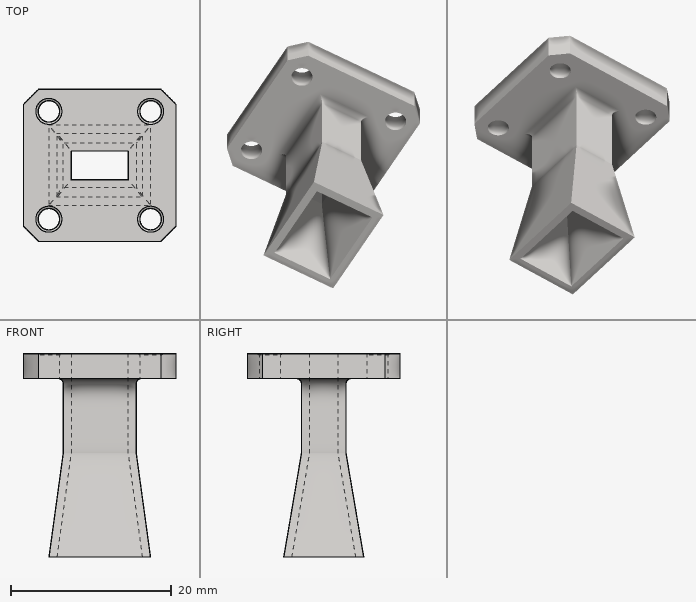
import cadquery as cq

total_height = 25.4

flange_side = 19.05
flange_thickness = 3.12
corner_chamfer = 1.9

hole_diameter = 2.65
countersink_diameter = 3.25
countersink_angle = 120.0
hole_spacing_x = 12.7
hole_spacing_y = 13.45

bore_x = 7.1
bore_y = 3.55
wall = 1.02
horn_length = 12.95
mouth_x = 12.7
mouth_y = 10.0
neck_fillet = 0.64

neck_x = bore_x + 2 * wall
neck_y = bore_y + 2 * wall
flange_bottom = total_height - flange_thickness


def straight_block(size_x, size_y, bottom, top):
    """Rectangular block centred on Z between two heights."""
    return cq.Workplane("XY", origin=(0, 0, bottom)).rect(size_x, size_y).extrude(top - bottom)


def flare(mouth_size_x, mouth_size_y, throat_size_x, throat_size_y):
    """Rectangular taper from the mouth at Z = 0 up to the throat."""
    return (
        cq.Workplane("XY")
        .rect(mouth_size_x, mouth_size_y)
        .workplane(offset=horn_length)
        .rect(throat_size_x, throat_size_y)
        .loft(ruled=True)
    )


def make_flange():
    """Flange plate with cut corners and four holes countersunk from the top."""
    plate = straight_block(flange_side, flange_side, flange_bottom, total_height)
    plate = plate.edges("|Z").chamfer(corner_chamfer)
    return (
        plate.faces(">Z")
        .workplane()
        .rect(hole_spacing_x, hole_spacing_y, forConstruction=True)
        .vertices()
        .cskHole(hole_diameter, countersink_diameter, countersink_angle)
    )


neck = straight_block(neck_x, neck_y, horn_length, flange_bottom)
body = make_flange().union(neck)
half_joint_x = neck_x / 2 + neck_fillet
half_joint_y = neck_y / 2 + neck_fillet
joint_edges = cq.selectors.BoxSelector(
    (-half_joint_x, -half_joint_y, flange_bottom - neck_fillet),
    (half_joint_x, half_joint_y, flange_bottom + neck_fillet),
)
body = body.edges(joint_edges).fillet(neck_fillet)

body = body.union(flare(mouth_x, mouth_y, neck_x, neck_y))

bore = straight_block(bore_x, bore_y, horn_length, total_height)
horn_cavity = flare(mouth_x - 2 * wall, mouth_y - 2 * wall, bore_x, bore_y)
result = body.cut(bore).cut(horn_cavity)